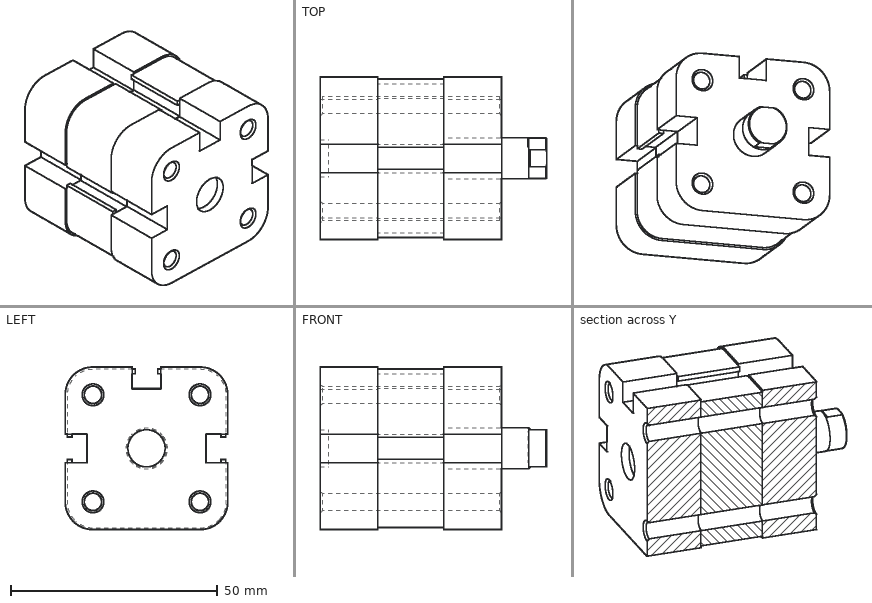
import cadquery as cq

total_length = 55.0
rod_reach = 11.0
cap_length = 14.0
tube_length = total_length - rod_reach - 2 * cap_length
tube_start = cap_length
front_cap_start = tube_start + tube_length
front_face = front_cap_start + cap_length

cap_width = 39.5
bolt_offset = 13.0
cap_corner_radius = cap_width / 2 - bolt_offset
tube_inset = 0.5
tube_width = cap_width - 2 * tube_inset
tube_corner_radius = cap_corner_radius - tube_inset

slot_width = 6.95
cap_slot_floor = 14.35
tube_slot_floor = 14.5
lip_reach = 0.75
lip_thickness = 1.2
tube_slot_mouth = slot_width - 2 * lip_reach
slot_angles = (-90, 0, 90)

bolt_hole_diameter = 4.2
bolt_mouth_diameter = 5.3
bolt_mouth_depth = (bolt_mouth_diameter - bolt_hole_diameter) / 2

recess_diameter = 9.0
recess_depth = 2.0

rod_diameter = 10.0
rod_shoulder = 6.4
shoulder_taper = 0.15
rod_tip_diameter = 9.9
rod_tip_chamfer = 0.2
flat_length = 4.0
across_flats = 9.0
flat_runout = (rod_tip_diameter - across_flats) / 2


def cylinder_x(diameter, start, length):
    """Cylinder on the X axis."""
    return cq.Workplane("YZ", origin=(start, 0, 0)).circle(diameter / 2).extrude(length)


def rounded_bar(width, radius, start, length):
    """Square bar along X with rounded long edges."""
    bar = cq.Workplane("YZ", origin=(start, 0, 0)).rect(width, width).extrude(length)
    return bar.edges("|X").fillet(radius)


def slot_cutter(width, bottom, top, start, length):
    """Slots of one width between two heights, on the top and both Y sides."""
    cutter = cq.Workplane("XY")
    height = top - bottom
    for angle in slot_angles:
        slot = cq.Workplane("XY").box(length, width, height, centered=(False, True, False))
        slot = slot.translate((start, 0, bottom)).rotate((0, 0, 0), (1, 0, 0), angle)
        cutter = cutter.add(slot)
    return cutter.combine()


def bolt_holes(start, length):
    """Four bolt holes along X."""
    plane = cq.Workplane("YZ", origin=(start, 0, 0))
    pattern = plane.rect(2 * bolt_offset, 2 * bolt_offset, forConstruction=True).vertices()
    return pattern.circle(bolt_hole_diameter / 2).extrude(length)


def make_cap(start):
    """Slotted end cap with plain bolt holes."""
    cap = rounded_bar(cap_width, cap_corner_radius, start, cap_length)
    cap = cap.cut(slot_cutter(slot_width, cap_slot_floor, cap_width / 2, start, cap_length))
    return cap.cut(bolt_holes(start, cap_length))


def chamfer_bolt_mouths(cap, face_selector):
    """Countersink the bolt holes on the cap's outer face."""
    smallest_circles = cq.selectors.RadiusNthSelector(0)
    rims = cap.faces(face_selector).edges("%CIRCLE").edges(smallest_circles)
    return rims.chamfer(bolt_mouth_depth)


def make_rear_cap():
    """End cap with the centring recess."""
    cap = chamfer_bolt_mouths(make_cap(0), "<X")
    return cap.cut(cylinder_x(recess_diameter, 0, recess_depth))


def make_front_cap():
    """End cap with the rod bore."""
    cap = chamfer_bolt_mouths(make_cap(front_cap_start), ">X")
    return cap.cut(cylinder_x(rod_diameter, front_cap_start, cap_length))


def make_tube():
    """Profile tube between the caps, with lipped slots."""
    tube = rounded_bar(tube_width, tube_corner_radius, tube_start, tube_length)
    tube_skin = tube_width / 2
    lip_underside = tube_skin - lip_thickness
    tube = tube.cut(slot_cutter(slot_width, tube_slot_floor, lip_underside, tube_start, tube_length))
    tube = tube.cut(slot_cutter(tube_slot_mouth, lip_underside, tube_skin, tube_start, tube_length))
    return tube.cut(bolt_holes(tube_start, tube_length))


def make_rod_shaft():
    """Stepped round shaft, from inside the front cap to the tip."""
    rod_radius = rod_diameter / 2
    tip_radius = rod_tip_diameter / 2
    shoulder = front_face + rod_shoulder
    profile = (
        cq.Workplane("XY")
        .moveTo(front_cap_start, 0)
        .lineTo(front_cap_start, rod_radius)
        .lineTo(shoulder, rod_radius)
        .lineTo(shoulder + shoulder_taper, tip_radius)
        .lineTo(total_length - rod_tip_chamfer, tip_radius)
        .lineTo(total_length, tip_radius - rod_tip_chamfer)
        .lineTo(total_length, 0)
        .close()
    )
    return profile.revolve(360, (0, 0, 0), (1, 0, 0))


def make_flat_cutter():
    """Waste above the upper wrench flat, with a sloped end."""
    flat_start = total_length - flat_length
    flat_height = across_flats / 2
    profile = (
        cq.Workplane("XZ")
        .moveTo(total_length, flat_height)
        .lineTo(flat_start, flat_height)
        .lineTo(flat_start - flat_runout, flat_height + flat_runout)
        .lineTo(total_length, flat_height + flat_runout)
        .close()
    )
    return profile.extrude(rod_diameter / 2, both=True)


def make_rod():
    """Rod through the front cap, with two opposite wrench flats at its tip."""
    upper_flat = make_flat_cutter()
    lower_flat = upper_flat.mirror("XY")
    return make_rod_shaft().cut(upper_flat).cut(lower_flat)


rear_cap = make_rear_cap()
front_cap = make_front_cap()
tube = make_tube()
rod = make_rod()

result = cq.Compound.makeCompound([rear_cap.val(), tube.val(), front_cap.val(), rod.val()])